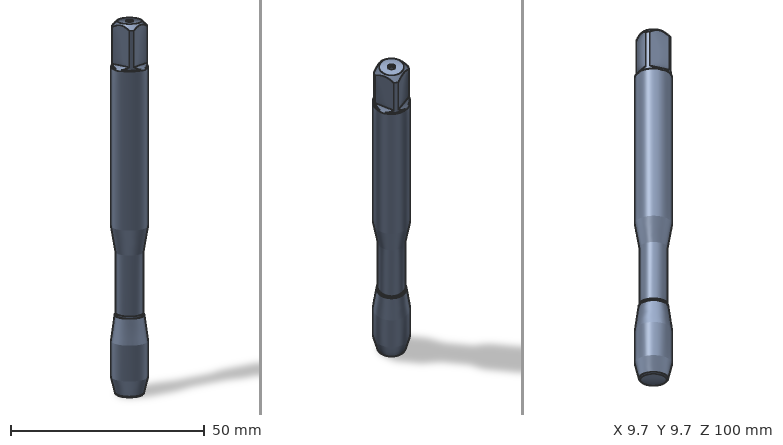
import cadquery as cq

total_length = 100.0
shank_radius = 9.7 / 2
neck_radius = 7.3 / 2
collar_radius = 7.2 / 2

lead_top = 4.7
thread_top = 14.3
head_shoulder = 21.2
head_top = 21.8
neck_top = 38.1
shank_taper_top = 45.1
shank_top = 87.7

tip_radius = 3.4
tip_bevel = 0.4
lead_bottom_radius = 3.8
head_shoulder_radius = 3.9

drive_width = 7.3
drive_corner_radius = 4.6
drive_base = 88.8
drive_top_radius = 3.2

centre_radius = 1.6 / 2
centre_mouth_radius = 1.0
centre_depth = 0.8


def revolve_profile(points):
    """Turn (radius, height) points about the Z axis; the axis closes the outline."""
    return cq.Workplane("XZ").polyline(points).close().revolve(360, (0, 0), (0, 1))


def make_head():
    """Tapered lead, cylindrical thread section, back taper and a short collar."""
    return revolve_profile([
        (0, 0),
        (tip_radius, 0),
        (lead_bottom_radius, tip_bevel),
        (shank_radius, lead_top),
        (shank_radius, thread_top),
        (head_shoulder_radius, head_shoulder),
        (collar_radius, head_shoulder),
        (collar_radius, head_top),
        (0, head_top),
    ])


def make_shank_blank():
    """Neck, taper, shank and the round drive end; both drive end bevels are 45 degrees."""
    top_bevel = drive_corner_radius - drive_top_radius
    shoulder_bevel = shank_radius - drive_corner_radius
    return revolve_profile([
        (0, head_top),
        (neck_radius, head_top),
        (neck_radius, neck_top),
        (shank_radius, shank_taper_top),
        (shank_radius, shank_top),
        (drive_corner_radius, shank_top + shoulder_bevel),
        (drive_corner_radius, total_length - top_bevel),
        (drive_top_radius, total_length),
        (0, total_length),
    ])


def make_flat_cutter():
    """Cutter for the +X flat, with a 45 degree run-out at its lower end."""
    inner = drive_width / 2
    outer = 2 * shank_radius
    return (
        cq.Workplane("XZ")
        .polyline([
            (inner, drive_base),
            (outer, drive_base - (outer - inner)),
            (outer, total_length),
            (inner, total_length),
        ])
        .close()
        .extrude(shank_radius, both=True)
    )


def make_centre_hole():
    """Drilled hole with a 45 degree bevelled mouth and a 45 degree conical bottom."""
    mouth_bevel = centre_mouth_radius - centre_radius
    hole_bottom = total_length - centre_depth
    return revolve_profile([
        (0, total_length),
        (centre_mouth_radius, total_length),
        (centre_radius, total_length - mouth_bevel),
        (centre_radius, hole_bottom),
        (0, hole_bottom - centre_radius),
    ])


def make_shank():
    """Shank with four drive flats and a centre hole."""
    shank = make_shank_blank()
    for angle in (0, 90, 180, 270):
        shank = shank.cut(make_flat_cutter().rotate((0, 0, 0), (0, 0, 1), angle))
    return shank.cut(make_centre_hole())


head = make_head()
shank = make_shank()
result = cq.Compound.makeCompound([head.val(), shank.val()])